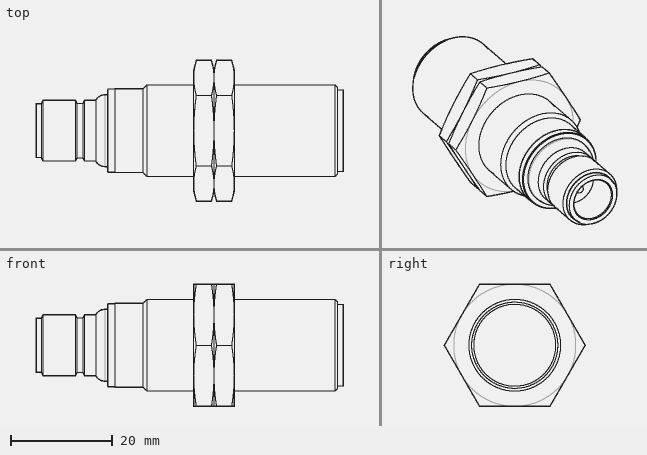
import cadquery as cq
import math

LENGTH = 60.3

TIP_DIAMETER = 10.6
TIP_LENGTH = 1.0
PLUG_DIAMETER = 12.0
TIP_CHAMFER_LENGTH = 0.3
PLUG_CHAMFER_DIAMETER = 10.8
GROOVE_START = 7.7
GROOVE_END = 9.45
GROOVE_CHAMFER_LENGTH = 0.3

DOME_START = 11.7
DOME_CREST = 13.5
DOME_DIAMETER = 14.2

COLLAR_START = 14.0
COLLAR_LIP_END = 15.5
COLLAR_LIP_DIAMETER = 16.4
COLLAR_DIAMETER = 16.5
COLLAR_FACE_DIAMETER = 16.1
COLLAR_CHAMFER = (COLLAR_LIP_DIAMETER - COLLAR_FACE_DIAMETER) / 2

BARREL_START = 21.0
BARREL_END = 59.2
BARREL_DIAMETER = 18.0
BARREL_END_DIAMETER = 16.95
BARREL_FRONT_CHAMFER = (BARREL_DIAMETER - COLLAR_DIAMETER) / 2
BARREL_END_CHAMFER = (BARREL_DIAMETER - BARREL_END_DIAMETER) / 2
CAP_DIAMETER = 16.1

SOCKET_DIAMETER = 8.3
SOCKET_DEPTH = 7.7
SOCKET_CHAMFER = 0.2
KEY_DIAMETER = 1.45
KEY_RADIUS_FROM_AXIS = 3.75
KEY_ANGLE = 45.0
KEY_RECESS = 0.5

NUT_COUNT = 2
NUT_START = 30.95
NUT_WIDTH = 4.0
NUT_ACROSS_FLATS = 24.0
NUT_ACROSS_CORNERS = NUT_ACROSS_FLATS / math.cos(math.radians(30))
NUT_CHAMFER_ANGLE = 15.0


def disc(start, length, diameter):
    """Cylinder along the X axis."""
    return cq.Workplane("YZ").workplane(offset=start).circle(diameter / 2).extrude(length)


def make_outer_shape():
    """Revolved outside of the housing, from the plug tip to the end cap."""
    plug_radius = PLUG_DIAMETER / 2
    dome_radius = DOME_DIAMETER / 2
    dome_length = DOME_CREST - DOME_START
    dome_rise = dome_radius - plug_radius
    arc_radius = (dome_length**2 + dome_rise**2) / (2 * dome_rise)
    half_angle = math.asin(dome_length / arc_radius) / 2
    dome_middle = (
        DOME_CREST - arc_radius * math.sin(half_angle),
        dome_radius - arc_radius * (1 - math.cos(half_angle)),
    )
    return (
        cq.Workplane("XY")
        .moveTo(0, 0)
        .lineTo(0, TIP_DIAMETER / 2)
        .lineTo(TIP_LENGTH, TIP_DIAMETER / 2)
        .lineTo(TIP_LENGTH, PLUG_CHAMFER_DIAMETER / 2)
        .lineTo(TIP_LENGTH + TIP_CHAMFER_LENGTH, plug_radius)
        .lineTo(GROOVE_START, plug_radius)
        .lineTo(GROOVE_START + GROOVE_CHAMFER_LENGTH, PLUG_CHAMFER_DIAMETER / 2)
        .lineTo(GROOVE_END - GROOVE_CHAMFER_LENGTH, PLUG_CHAMFER_DIAMETER / 2)
        .lineTo(GROOVE_END, plug_radius)
        .lineTo(DOME_START, plug_radius)
        .threePointArc(dome_middle, (DOME_CREST, dome_radius))
        .lineTo(COLLAR_START, dome_radius)
        .lineTo(COLLAR_START, COLLAR_FACE_DIAMETER / 2)
        .lineTo(COLLAR_START + COLLAR_CHAMFER, COLLAR_LIP_DIAMETER / 2)
        .lineTo(COLLAR_LIP_END, COLLAR_LIP_DIAMETER / 2)
        .lineTo(COLLAR_LIP_END, COLLAR_DIAMETER / 2)
        .lineTo(BARREL_START, COLLAR_DIAMETER / 2)
        .lineTo(BARREL_START + BARREL_FRONT_CHAMFER, BARREL_DIAMETER / 2)
        .lineTo(BARREL_END - BARREL_END_CHAMFER, BARREL_DIAMETER / 2)
        .lineTo(BARREL_END, BARREL_END_DIAMETER / 2)
        .lineTo(BARREL_END, CAP_DIAMETER / 2)
        .lineTo(LENGTH, CAP_DIAMETER / 2)
        .lineTo(LENGTH, 0)
        .close()
        .revolve(360, (0, 0, 0), (1, 0, 0))
    )


def make_socket():
    """Blind round socket with a chamfered mouth and a keying rib left in its wall."""
    bore = disc(0, SOCKET_DEPTH, SOCKET_DIAMETER)
    mouth = cq.Workplane(
        cq.Solid.makeCone(
            SOCKET_DIAMETER / 2 + SOCKET_CHAMFER,
            SOCKET_DIAMETER / 2,
            SOCKET_CHAMFER,
            dir=cq.Vector(1, 0, 0),
        )
    )
    key_angle = math.radians(KEY_ANGLE)
    key = disc(KEY_RECESS, SOCKET_DEPTH - KEY_RECESS, KEY_DIAMETER).translate(
        (0, KEY_RADIUS_FROM_AXIS * math.cos(key_angle), KEY_RADIUS_FROM_AXIS * math.sin(key_angle))
    )
    return bore.union(mouth).cut(key)


def make_housing():
    return make_outer_shape().cut(make_socket())


def make_nut(start):
    """Hexagonal nut with corners along Y and both faces chamfered at the corners."""
    hexagon = (
        cq.Workplane("YZ").workplane(offset=start).polygon(6, NUT_ACROSS_CORNERS).extrude(NUT_WIDTH)
    )
    corner_radius = NUT_ACROSS_CORNERS / 2
    face_radius = NUT_ACROSS_FLATS / 2
    chamfer_length = (corner_radius - face_radius) * math.tan(math.radians(NUT_CHAMFER_ANGLE))
    end = start + NUT_WIDTH
    chamfered_envelope = (
        cq.Workplane("XY")
        .moveTo(start, BARREL_DIAMETER / 2)
        .lineTo(start, face_radius)
        .lineTo(start + chamfer_length, corner_radius)
        .lineTo(end - chamfer_length, corner_radius)
        .lineTo(end, face_radius)
        .lineTo(end, BARREL_DIAMETER / 2)
        .close()
        .revolve(360, (0, 0, 0), (1, 0, 0))
    )
    return hexagon.intersect(chamfered_envelope)


housing = make_housing()
nuts = [make_nut(NUT_START + index * NUT_WIDTH) for index in range(NUT_COUNT)]
result = cq.Compound.makeCompound([housing.val(), *[nut.val() for nut in nuts]])